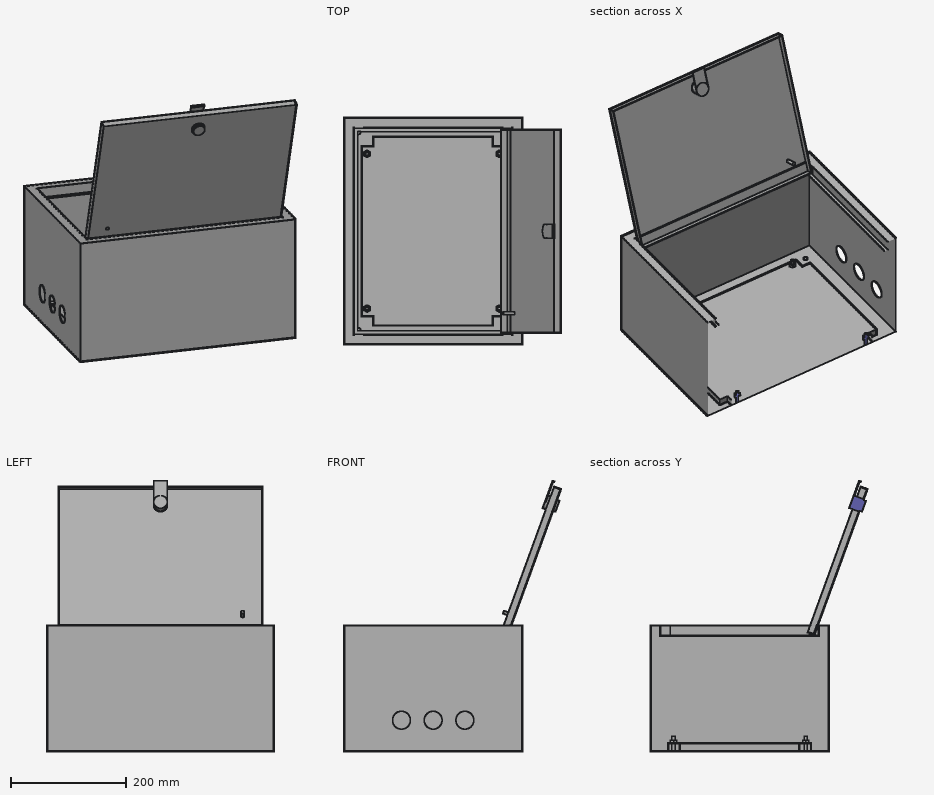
import cadquery as cq
import math

overall_height = 470.8

box_x = 310.5
box_y = 395.0
box_z = 220.0
sheet = 1.5

rim_width = 18.5
recess_depth = 18.0
corner_relief = 16.5
ledge_width = 6.0
hinge_ledge_width = 2.5

cable_hole_count = 3
cable_hole_diameter = 31.0
cable_hole_pitch = 55.0
cable_hole_height = 54.5
wall_hole_diameter = 7.5
wall_hole_inset = 25.5

plate_inset_x = 30.5
plate_inset_y = 33.0
plate_top = 15.0
corner_cut_x = 20.2
corner_cut_y = 16.0

stud_diameter = 5.5
stud_top = 26.5
nut_across_corners = 12.2
nut_height = 5.0
stud_inset_x = 40.5
stud_inset_y = 63.0

door_gap = 2.0
door_depth = 13.0
door_tilt = 20
hinge_drop = 17.5
rim_clearance = 0.5
hinge_strip_length = 18.0
hinge_strip_thickness = 1.0
earth_stud_diameter = 5.5
earth_stud_length = 20.0
earth_stud_from_hinge = 35.0
earth_stud_y = -142.5

latch_from_free_edge = 30.5
knob_diameter = 20.5
knob_projection = 4.2
cam_width = 24.0
cam_thickness = 2.0
cam_rise = 6.0
cam_lip = 4.0

opening_x = box_x - 2 * rim_width
opening_y = box_y - 2 * rim_width
door_length = opening_x - 2 * door_gap
door_width = opening_y - 2 * door_gap
latch_x = door_length - latch_from_free_edge
tilt = math.radians(door_tilt)
cam_top = door_depth + cam_rise
cam_tip_x = (overall_height - box_z + hinge_drop - cam_top * math.sin(tilt)) / math.cos(tilt)
stud_points = [
    (side_x * (box_x / 2 - stud_inset_x), side_y * (box_y / 2 - stud_inset_y))
    for side_x in (-1, 1)
    for side_y in (-1, 1)
]


def block(size_x, size_y, bottom, top):
    """Upright block centred on the Z axis."""
    return cq.Workplane("XY").workplane(offset=bottom).rect(size_x, size_y).extrude(top - bottom)


def rod(x, y, diameter, bottom, top):
    """Upright cylinder."""
    return cq.Workplane("XY").workplane(offset=bottom).center(x, y).circle(diameter / 2).extrude(top - bottom)


def open_door(flat_body):
    """Swing a body from the flat door position up to the open position."""
    hinge_x = opening_x / 2 - rim_clearance - hinge_drop * math.tan(tilt)
    return flat_body.rotate((0, 0, 0), (0, 1, 0), door_tilt - 90).translate((hinge_x, 0, box_z - hinge_drop))


def make_box():
    body = block(box_x, box_y, 0, box_z)
    body = body.cut(block(box_x - 2 * sheet, box_y - 2 * sheet, sheet, box_z - sheet))

    ledge_top = box_z - recess_depth
    recess = block(opening_x + 2 * sheet, opening_y + 2 * sheet, ledge_top - sheet, box_z)
    body = body.union(recess).cut(block(opening_x, opening_y, ledge_top, box_z))
    ledge_opening = block(
        opening_x - ledge_width - hinge_ledge_width, opening_y - 2 * ledge_width, ledge_top - sheet, box_z
    )
    body = body.cut(ledge_opening.translate(((ledge_width - hinge_ledge_width) / 2, 0, 0)))

    reliefs = block(opening_x, opening_y + 2 * sheet, ledge_top, box_z - sheet)
    reliefs = reliefs.cut(block(opening_x - 2 * corner_relief, opening_y + 2 * sheet, ledge_top, box_z - sheet))
    body = body.cut(reliefs)

    entries = (
        cq.Workplane("XZ", origin=(0, -box_y / 2, cable_hole_height))
        .rarray(cable_hole_pitch, 4.5, cable_hole_count, 1)
        .circle(cable_hole_diameter / 2)
        .extrude(-sheet)
    )
    body = body.cut(entries)

    wall_holes = (
        cq.Workplane("XY")
        .rarray(box_x - 2 * wall_hole_inset, box_y - 2 * wall_hole_inset, 2, 2)
        .circle(wall_hole_diameter / 2)
        .extrude(sheet)
    )
    return body.cut(wall_holes)


def make_plate():
    """Tray with notched corners and its edges folded down onto the floor."""
    size_x = box_x - 2 * plate_inset_x
    size_y = box_y - 2 * plate_inset_y

    def cross(margin, bottom, top):
        along_x = block(size_x - 2 * margin, size_y - 2 * corner_cut_y - 2 * margin, bottom, top)
        along_y = block(size_x - 2 * corner_cut_x - 2 * margin, size_y - 2 * margin, bottom, top)
        return along_x.union(along_y)

    plate = cross(0, sheet, plate_top).cut(cross(sheet, sheet, plate_top - sheet))
    for x, y in stud_points:
        plate = plate.cut(rod(x, y, stud_diameter, sheet, plate_top))
    return plate


def make_stud(x, y):
    """Stud standing on the floor, with the nut that clamps the plate."""
    stud = rod(x, y, stud_diameter, sheet, stud_top)
    nut = (
        cq.Workplane("XY", origin=(x, y, plate_top))
        .transformed(rotate=(0, 0, 90))
        .polygon(6, nut_across_corners)
        .extrude(nut_height)
    )
    return stud.union(nut)


def make_door():
    """Pan with its edges folded inward, hinge strip and earth stud."""
    door = block(door_length, door_width, 0, door_depth)
    door = door.cut(block(door_length - 2 * sheet, door_width - 2 * sheet, sheet, door_depth))
    door = door.translate((door_length / 2, 0, 0))

    strip_top = sheet + hinge_strip_thickness
    strip = block(hinge_strip_length, door_width - 2 * sheet, sheet, strip_top)
    door = door.union(strip.translate((hinge_strip_length / 2, 0, 0)))

    earth_stud = rod(earth_stud_from_hinge, earth_stud_y, earth_stud_diameter, sheet, sheet + earth_stud_length)
    door = door.union(earth_stud)
    return open_door(door.cut(rod(latch_x, 0, knob_diameter, 0, sheet)))


def make_latch():
    """Knob through the door, with a round barrel and a cam reaching past the free edge."""
    cam_bottom = cam_top - cam_thickness
    latch = rod(latch_x, 0, knob_diameter, -knob_projection, sheet)
    latch = latch.union(rod(latch_x, 0, cam_width, sheet, cam_bottom))
    cam = (
        cq.Workplane("XY", origin=(latch_x, 0, cam_bottom))
        .moveTo(0, cam_width / 2)
        .threePointArc((-cam_width / 2, 0), (0, -cam_width / 2))
        .lineTo(cam_tip_x - latch_x, -cam_width / 2)
        .lineTo(cam_tip_x - latch_x, cam_width / 2)
        .close()
        .extrude(cam_thickness)
    )
    lip = block(cam_thickness, cam_width, cam_top - cam_lip, cam_top)
    lip = lip.translate((cam_tip_x - cam_thickness / 2, 0, 0))
    return open_door(latch.union(cam).union(lip))


box = make_box()
plate = make_plate()
studs = [make_stud(x, y) for x, y in stud_points]
door = make_door()
latch = make_latch()

result = cq.Compound.makeCompound(
    [box.val(), plate.val(), *[stud.val() for stud in studs], door.val(), latch.val()]
)